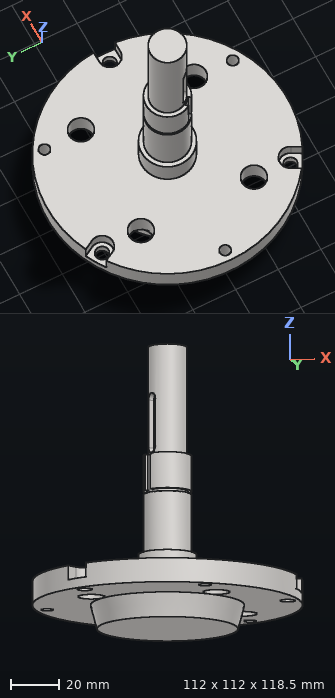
import cadquery as cq
import math

total_height = 118.5
hub_height = 10.0
flange_thickness = 10.1
flange_top = hub_height + flange_thickness
collar_top = 31.3
groove_bottom = 56.4
groove_width = 1.3
shoulder_top = 72.8

hub_bottom_diameter = 58.5
hub_top_diameter = 63.8
flange_diameter = 112.0
collar_diameter = 24.0
journal_diameter = 19.9
groove_diameter = 17.1
shaft_diameter = 16.0

rim_circle_radius = 51.0
screw_hole_diameter = 6.0
pin_hole_diameter = 5.0
large_hole_diameter = 11.0
large_hole_spacing = 53.0
notch_width = 10.0
notch_depth = 6.0
rim_hole_count = 3
rim_hole_step = 360 / rim_hole_count

keyway_angle = 225
shaft_key_width = 5.0
shaft_key_length = 25.0
shaft_key_bottom = 73.5
shaft_key_floor = 5.1
journal_key_width = 4.0
journal_key_floor = 8.4


def turned_body():
    """Hub, flange and stepped shaft as one revolved profile."""
    groove_top = groove_bottom + groove_width
    profile = [
        (0, 0),
        (hub_bottom_diameter / 2, 0),
        (hub_top_diameter / 2, hub_height),
        (flange_diameter / 2, hub_height),
        (flange_diameter / 2, flange_top),
        (collar_diameter / 2, flange_top),
        (collar_diameter / 2, collar_top),
        (journal_diameter / 2, collar_top),
        (journal_diameter / 2, groove_bottom),
        (groove_diameter / 2, groove_bottom),
        (groove_diameter / 2, groove_top),
        (journal_diameter / 2, groove_top),
        (journal_diameter / 2, shoulder_top),
        (shaft_diameter / 2, shoulder_top),
        (shaft_diameter / 2, total_height),
        (0, total_height),
    ]
    return cq.Workplane("XZ").polyline(profile).close().revolve(360, (0, 0), (0, 1))


def flange_holes(points, diameter):
    """Cylinders that pass through the flange at the given XY points."""
    flange_bottom = cq.Workplane("XY").workplane(offset=hub_height)
    return flange_bottom.pushPoints(points).circle(diameter / 2).extrude(flange_thickness)


def rim_points(start_angle):
    """Evenly spaced points on the rim hole circle."""
    angles = [math.radians(start_angle + i * rim_hole_step) for i in range(rim_hole_count)]
    return [(rim_circle_radius * math.cos(a), rim_circle_radius * math.sin(a)) for a in angles]


def edge_notch(angle):
    """Round-ended notch in the flange top, open at the rim."""
    floor = cq.Workplane("XY").workplane(offset=flange_top - notch_depth)
    end = floor.center(rim_circle_radius, 0).circle(notch_width / 2).extrude(notch_depth)
    channel_length = notch_width
    channel = (
        floor.center(rim_circle_radius + channel_length / 2, 0)
        .rect(channel_length, notch_width)
        .extrude(notch_depth)
    )
    return end.union(channel).rotate((0, 0, 0), (0, 0, 1), angle)


def shaft_keyway():
    """Round-ended keyway in the shaft end."""
    middle = shaft_key_bottom + shaft_key_length / 2
    return (
        cq.Workplane("YZ", origin=(shaft_key_floor, 0, middle))
        .slot2D(shaft_key_length, shaft_key_width, 90)
        .extrude(shaft_diameter / 2)
        .rotate((0, 0, 0), (0, 0, 1), keyway_angle)
    )


def journal_keyway():
    """Straight keyway from the journal shoulder down to the groove."""
    height = shoulder_top - groove_bottom
    return (
        cq.Workplane("YZ", origin=(journal_key_floor, 0, groove_bottom + height / 2))
        .rect(journal_key_width, height)
        .extrude(journal_diameter / 2)
        .rotate((0, 0, 0), (0, 0, 1), keyway_angle)
    )


half_spacing = large_hole_spacing / 2
large_hole_points = [(x, y) for x in (-half_spacing, half_spacing) for y in (-half_spacing, half_spacing)]

result = turned_body()
result = result.cut(flange_holes(large_hole_points, large_hole_diameter))
result = result.cut(flange_holes(rim_points(0), screw_hole_diameter))
result = result.cut(flange_holes(rim_points(rim_hole_step / 2), pin_hole_diameter))
for notch_index in range(rim_hole_count):
    result = result.cut(edge_notch(notch_index * rim_hole_step))
result = result.cut(shaft_keyway()).cut(journal_keyway())